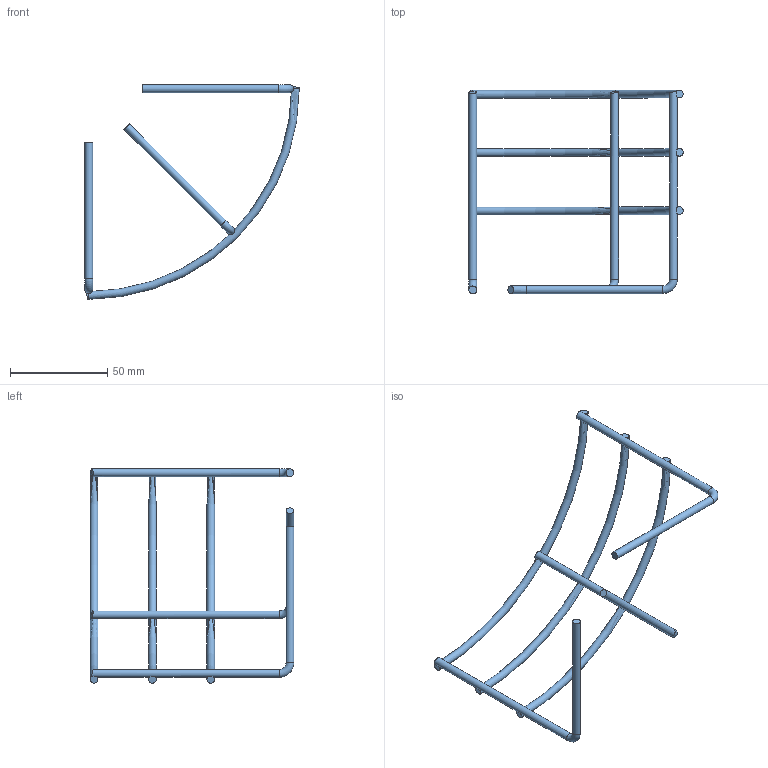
import cadquery as cq

wire_diameter = 4.0
wire_radius = wire_diameter / 2

arc_radius = 106.2
arc_count = 3
arc_pitch = 30.0
arc_sweep = 90.0

bar_overlap = 1.0
bar_distance = arc_radius - wire_diameter + bar_overlap
bar_angles = (0.0, arc_sweep / 2, arc_sweep)
leg_y = -100.7
leg_end_distance = 27.6
bend_radius = 5.5

slant_rise = 1.0
bar_tip_inner = 0.5
bar_tip_outer = bar_tip_inner + slant_rise
arc_tip_outer = 0.5
arc_tip_inner = arc_tip_outer + slant_rise


def slanted_tip(inner_length, outer_length):
    """Short straight wire along +Y from the origin, cut to differing lengths at -X and +X."""
    side_outline = [
        (-wire_radius, 0),
        (wire_radius, 0),
        (wire_radius, outer_length),
        (-wire_radius, inner_length),
    ]
    slab = cq.Workplane("XY").polyline(side_outline).close().extrude(wire_radius, both=True)
    longest = max(inner_length, outer_length)
    rod = cq.Workplane("XZ").circle(wire_radius).extrude(-longest)
    return rod.intersect(slab)


def turned_about_y(body, angle):
    """Body turned about the Y axis, from +X towards -Z."""
    return body.rotate((0, 0, 0), (0, 1, 0), angle)


def curved_wire():
    """Quarter-circle wire in the plane y = 0 with a slanted tip at each end."""
    section = cq.Workplane("XY", origin=(arc_radius, 0, 0)).circle(wire_radius)
    axis_start = (-arc_radius, 0, 0)
    axis_end = (-arc_radius, 1, 0)
    arc = section.revolve(arc_sweep, axis_start, axis_end)

    tip = slanted_tip(arc_tip_inner, arc_tip_outer)
    upward_tip = tip.rotate((0, 0, 0), (1, 0, 0), 90).translate((arc_radius, 0, 0))
    downward_tip = tip.rotate((0, 0, 0), (1, 0, 0), -90).translate((arc_radius, 0, 0))
    return arc.union(upward_tip).union(turned_about_y(downward_tip, arc_sweep))


def bent_bar():
    """Bar along Y on the +X side that bends into a leg pointing at the Y axis."""
    bend_start_y = leg_y + bend_radius
    bend_end_x = bar_distance - bend_radius
    corner_offset = bend_radius * 0.5**0.5
    bend_middle = (bend_end_x + corner_offset, bend_start_y - corner_offset)
    path = (
        cq.Workplane("XY")
        .moveTo(bar_distance, 0)
        .lineTo(bar_distance, bend_start_y)
        .threePointArc(bend_middle, (bend_end_x, leg_y))
        .lineTo(leg_end_distance, leg_y)
    )
    section = cq.Workplane("XZ", origin=(bar_distance, 0, 0)).circle(wire_radius)
    tip = slanted_tip(bar_tip_inner, bar_tip_outer).translate((bar_distance, 0, 0))
    return section.sweep(path).union(tip)


wire = curved_wire()
bar = bent_bar()

result = wire
for index in range(1, arc_count):
    result = result.union(wire.translate((0, -index * arc_pitch, 0)))
for bar_angle in bar_angles:
    result = result.union(turned_about_y(bar, bar_angle))